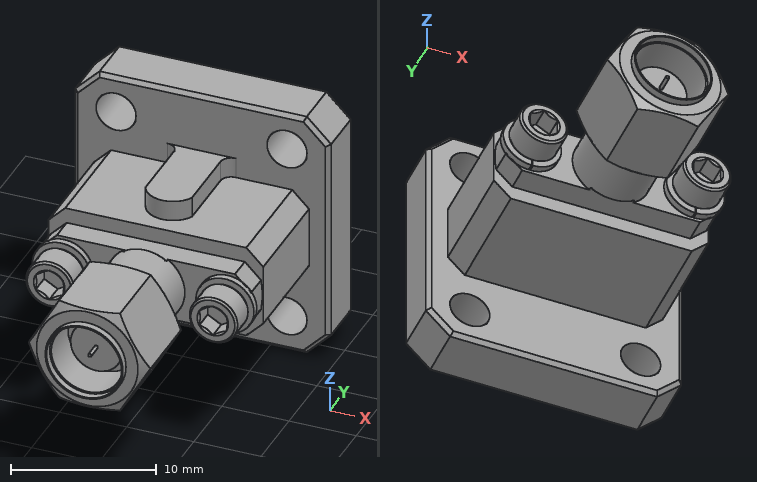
import cadquery as cq
import math


FLANGE_SIDE = 19.05
FLANGE_CORNER = 1.8
FLANGE_EDGE_CHAMFER = 0.3
FLANGE_FRONT = 4.12
MOUNT_HOLE_DIAMETER = 2.97
MOUNT_HOLE_X = 6.36
MOUNT_HOLE_Z = 6.75

BODY_WIDTH = 16.0
BODY_HEIGHT = 7.1
BODY_CORNER = 1.25
BODY_FRONT = 12.32

RIB_HALF_WIDTH = 1.74
RIB_TOP = 5.08
RIB_SIDE_END = 10.0
RIB_NOSE = 11.12
RIB_ROOT_RADIUS = 0.8

PLATE_RADIUS = 7.92
PLATE_HEIGHT = 4.78
PLATE_CORNER = 1.2
PLATE_FRONT = 14.08

SCREW_X = 6.09
WASHER_RADIUS = 2.16
WASHER_FRONT = 14.59
WASHER_SLIT = 0.1
SCREW_SHANK_RADIUS = 1.25
SCREW_HEAD_RADIUS = 1.79
SCREW_HEAD_FRONT = 16.75
SCREW_HEAD_CHAMFER = 0.15
SOCKET_ACROSS_FLATS = 2.0
SOCKET_DEPTH = 1.5

BARREL_RADIUS = 2.9
BARREL_SHOULDER = 14.3
BARREL_FRONT = 25.15
NUT_ACROSS_FLATS = 7.85
NUT_BACK = 18.25
NUT_FRONT = 24.6
NUT_FACE_RADIUS = 3.77
NUT_CHAMFER_ANGLE = 30.0
MOUTH_RADIUS = 2.8
MOUTH_DEPTH = 0.55
BORE_RADIUS = 2.67
BORE_DEPTH = 3.52
INSULATOR_RADIUS = 1.9
INSULATOR_DEPTH = 2.2
PIN_RADIUS = 0.13
PIN_DEPTH = 1.0


def plane_at(station):
    """XZ plane at a station; extrusion runs forward along -Y."""
    return cq.Workplane("XZ", origin=(0, -station, 0))


def disc(radius, back, front, x=0):
    return plane_at(back).center(x, 0).circle(radius).extrude(front - back)


def block(width, height, back, front):
    return plane_at(back).rect(width, height).extrude(front - back)


def hexagon(across_flats, back, front, first_angle, x=0):
    """Hexagonal prism with one vertex at first_angle degrees from +X."""
    vertex_radius = across_flats / math.sqrt(3)
    angles = [math.radians(first_angle + 60 * i) for i in range(6)]
    vertices = [(x + vertex_radius * math.cos(a), vertex_radius * math.sin(a)) for a in angles]
    return plane_at(back).polyline(vertices).close().extrude(front - back)


def make_flange():
    flange = block(FLANGE_SIDE, FLANGE_SIDE, 0, FLANGE_FRONT).edges("|Y").chamfer(FLANGE_CORNER)
    flange = flange.faces("<Y or >Y").chamfer(FLANGE_EDGE_CHAMFER)
    holes = (
        plane_at(0)
        .rect(2 * MOUNT_HOLE_X, 2 * MOUNT_HOLE_Z, forConstruction=True)
        .vertices()
        .circle(MOUNT_HOLE_DIAMETER / 2)
        .extrude(FLANGE_FRONT)
    )
    return flange.cut(holes)


def make_body():
    body = block(BODY_WIDTH, BODY_HEIGHT, FLANGE_FRONT, BODY_FRONT)
    return body.edges("|Y").chamfer(BODY_CORNER)


def make_rib():
    """Tongue with an arc nose and concave root fillets against the flange."""
    root_half = RIB_HALF_WIDTH + RIB_ROOT_RADIUS
    root_end = FLANGE_FRONT + RIB_ROOT_RADIUS
    fillet_mid = RIB_ROOT_RADIUS * math.sqrt(0.5)
    mid_x = root_half - fillet_mid
    mid_station = root_end - fillet_mid
    return (
        cq.Workplane("XY")
        .moveTo(-root_half, -FLANGE_FRONT)
        .threePointArc((-mid_x, -mid_station), (-RIB_HALF_WIDTH, -root_end))
        .lineTo(-RIB_HALF_WIDTH, -RIB_SIDE_END)
        .threePointArc((0, -RIB_NOSE), (RIB_HALF_WIDTH, -RIB_SIDE_END))
        .lineTo(RIB_HALF_WIDTH, -root_end)
        .threePointArc((mid_x, -mid_station), (root_half, -FLANGE_FRONT))
        .close()
        .extrude(RIB_TOP)
    )


def make_plate():
    corner_z = PLATE_HEIGHT / 2 - PLATE_CORNER
    bar_width = 2 * math.sqrt(PLATE_RADIUS**2 - corner_z**2)
    bar = block(bar_width, PLATE_HEIGHT, BODY_FRONT, PLATE_FRONT).edges("|Y").chamfer(PLATE_CORNER)
    rounded_ends = disc(PLATE_RADIUS, BODY_FRONT, PLATE_FRONT)
    rounded_ends = rounded_ends.intersect(
        block(2 * PLATE_RADIUS, 2 * corner_z, BODY_FRONT, PLATE_FRONT)
    )
    return bar.union(rounded_ends)


def make_screw(x):
    """Lock washer with a slit at the bottom, under a socket-head screw."""
    washer = disc(WASHER_RADIUS, PLATE_FRONT, WASHER_FRONT, x)
    slit = (
        plane_at(PLATE_FRONT)
        .center(x, -(SCREW_SHANK_RADIUS + WASHER_RADIUS) / 2)
        .rect(WASHER_SLIT, WASHER_RADIUS - SCREW_SHANK_RADIUS)
        .extrude(WASHER_FRONT - PLATE_FRONT)
    )
    head = disc(SCREW_HEAD_RADIUS, WASHER_FRONT, SCREW_HEAD_FRONT, x)
    head = head.faces("<Y or >Y").chamfer(SCREW_HEAD_CHAMFER)

    socket_floor = SCREW_HEAD_FRONT - SOCKET_DEPTH
    socket = hexagon(SOCKET_ACROSS_FLATS, socket_floor, SCREW_HEAD_FRONT, 90, x)
    corner_radius = SOCKET_ACROSS_FLATS / math.sqrt(3)
    flat_radius = SOCKET_ACROSS_FLATS / 2
    face_centre = cq.Vector(x, -SCREW_HEAD_FRONT, 0)
    countersink = cq.Solid.makeCone(
        corner_radius, flat_radius, corner_radius - flat_radius, face_centre, cq.Vector(0, 1, 0)
    )
    return washer.cut(slit).union(head).cut(socket).cut(countersink)


def make_nut():
    """Hexagonal nut with both ends turned to a cone."""
    slope = math.tan(math.radians(NUT_CHAMFER_ANGLE))
    vertex_radius = NUT_ACROSS_FLATS / math.sqrt(3)
    cone_length = (vertex_radius - NUT_FACE_RADIUS) * slope
    envelope = (
        cq.Workplane("XY")
        .moveTo(0, -NUT_BACK)
        .lineTo(NUT_FACE_RADIUS, -NUT_BACK)
        .lineTo(vertex_radius, -NUT_BACK - cone_length)
        .lineTo(vertex_radius, -NUT_FRONT + cone_length)
        .lineTo(NUT_FACE_RADIUS, -NUT_FRONT)
        .lineTo(0, -NUT_FRONT)
        .close()
        .revolve(360, (0, 0, 0), (0, 1, 0))
    )
    return hexagon(NUT_ACROSS_FLATS, NUT_BACK, NUT_FRONT, 0).intersect(envelope)


def make_barrel():
    """Barrel whose root is trimmed flush with the top and bottom of the plate."""
    root = disc(BARREL_RADIUS, PLATE_FRONT, BARREL_SHOULDER).intersect(
        block(2 * BARREL_RADIUS, PLATE_HEIGHT, PLATE_FRONT, BARREL_SHOULDER)
    )
    return root.union(disc(BARREL_RADIUS, BARREL_SHOULDER, BARREL_FRONT))


def make_connector():
    """Barrel and nut, bored from the front around an insulator and its pin."""
    bore_floor = BARREL_FRONT - BORE_DEPTH
    insulator_face = BARREL_FRONT - INSULATOR_DEPTH
    return (
        make_barrel()
        .union(make_nut())
        .cut(disc(MOUTH_RADIUS, BARREL_FRONT - MOUTH_DEPTH, BARREL_FRONT))
        .cut(disc(BORE_RADIUS, bore_floor, BARREL_FRONT))
        .union(disc(INSULATOR_RADIUS, bore_floor, insulator_face))
        .union(disc(PIN_RADIUS, insulator_face, BARREL_FRONT - PIN_DEPTH))
    )


result = make_flange()
for piece in (make_body(), make_rib(), make_plate(), make_connector()):
    result = result.union(piece)
for screw_x in (-SCREW_X, SCREW_X):
    result = result.union(make_screw(screw_x))